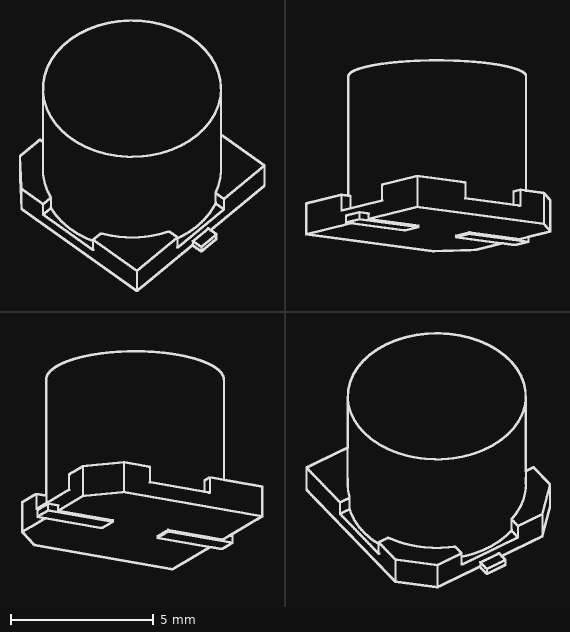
import cadquery as cq

total_length = 7.39
total_height = 5.57

base_width = 6.6
base_bottom = 0.05
base_top = 1.16
corner_chamfer = 1.065

notch_width = 2.4
notch_floor = 0.59

can_diameter = 6.27

lead_width = 0.8
lead_thickness = 0.25
lead_inner_x = 1.11
lead_length = total_length / 2 - lead_inner_x


def make_block(size_x, size_y, bottom, top, center_x=0.0):
    """Rectangular block centred on Y = 0 between two heights."""
    return (
        cq.Workplane("XY", origin=(center_x, 0, bottom))
        .rect(size_x, size_y)
        .extrude(top - bottom)
    )


def make_can():
    return (
        cq.Workplane("XY", origin=(0, 0, notch_floor))
        .circle(can_diameter / 2)
        .extrude(total_height - notch_floor)
    )


def make_lead(side):
    """Lead at the +X end (side = 1) or the -X end (side = -1)."""
    center_x = side * (lead_inner_x + lead_length / 2)
    return make_block(lead_length, lead_width, 0, lead_thickness, center_x)


def make_base(can, leads):
    base = make_block(base_width, base_width, base_bottom, base_top)
    base = base.edges("|Z and <X").chamfer(corner_chamfer)

    base = base.cut(make_block(base_width, notch_width, notch_floor, base_top))
    base = base.cut(make_block(notch_width, base_width, notch_floor, base_top))

    base = base.cut(can)
    for lead in leads:
        base = base.cut(lead)
    return base


can = make_can()
leads = [make_lead(side) for side in (-1, 1)]
base = make_base(can, leads)

result = cq.Compound.makeCompound([base.val(), can.val(), *[lead.val() for lead in leads]])